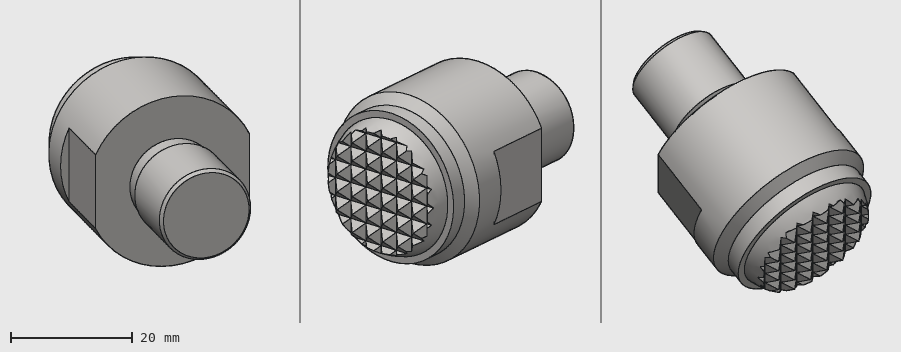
import cadquery as cq
import math

total_length = 43.0
rim_x = 4.1
collar_end_x = 7.0
shoulder_x = 27.0

body_radius = 15.0
collar_radius = 13.25
bevel = body_radius - collar_radius
flats_width = 27.0
flats_length = 12.6

thread_radius = 8.0
relief_radius = 7.5
relief_length = 3.2
thread_bevel = 0.6
thread_step = thread_radius - relief_radius

ball_radius = 12.5
ball_center_x = 7.5

tooth_pitch = 3.2
tooth_depth = tooth_pitch / 2 / math.tan(math.radians(45))
teeth_across = 8


def make_sphere():
    """Full ball revolved about the X axis."""
    return (
        cq.Workplane("XY")
        .moveTo(ball_center_x - ball_radius, 0)
        .threePointArc((ball_center_x, ball_radius), (ball_center_x + ball_radius, 0))
        .close()
        .revolve(360, (0, 0, 0), (1, 0, 0))
    )


def make_housing():
    """Turned body and stem with two wrench flats and a ball socket."""
    relief_end_x = shoulder_x + relief_length
    turned = (
        cq.Workplane("XY")
        .moveTo(rim_x, 0)
        .lineTo(rim_x, collar_radius)
        .lineTo(collar_end_x, collar_radius)
        .lineTo(collar_end_x + bevel, body_radius)
        .lineTo(shoulder_x, body_radius)
        .lineTo(shoulder_x, relief_radius)
        .lineTo(relief_end_x, relief_radius)
        .lineTo(relief_end_x + thread_step, thread_radius)
        .lineTo(total_length - thread_bevel, thread_radius)
        .lineTo(total_length, thread_radius - thread_step)
        .lineTo(total_length, 0)
        .close()
        .revolve(360, (0, 0, 0), (1, 0, 0))
    )
    flat_depth = body_radius - flats_width / 2
    flat_center_x = shoulder_x - flats_length / 2
    for side in (-1, 1):
        flat_center_y = side * (flats_width + flat_depth) / 2
        flat_cut = (
            cq.Workplane("XY")
            .box(flats_length, flat_depth, 2 * body_radius)
            .translate((flat_center_x, flat_center_y, 0))
        )
        turned = turned.cut(flat_cut)
    return turned.cut(make_sphere())


def make_toothed_block():
    """Block whose -X face is a row of ridges along Z, with a valley on the axis."""
    half_width = teeth_across * tooth_pitch / 2
    back_x = ball_center_x + 2 * ball_radius
    outline = [(tooth_depth, -half_width)]
    for tooth in range(teeth_across):
        valley_y = -half_width + tooth * tooth_pitch
        outline.append((0, valley_y + tooth_pitch / 2))
        outline.append((tooth_depth, valley_y + tooth_pitch))
    outline.append((back_x, half_width))
    outline.append((back_x, -half_width))
    return cq.Workplane("XY").polyline(outline).close().extrude(2 * ball_radius, both=True)


def make_ball():
    """Ball with its front trimmed to a grid of pyramid teeth."""
    ridges_along_z = make_toothed_block()
    ridges_along_y = ridges_along_z.rotate((0, 0, 0), (1, 0, 0), 90)
    return make_sphere().intersect(ridges_along_z).intersect(ridges_along_y)


housing = make_housing()
ball = make_ball()

result = cq.Compound.makeCompound([housing.solids().val(), ball.solids().val()])